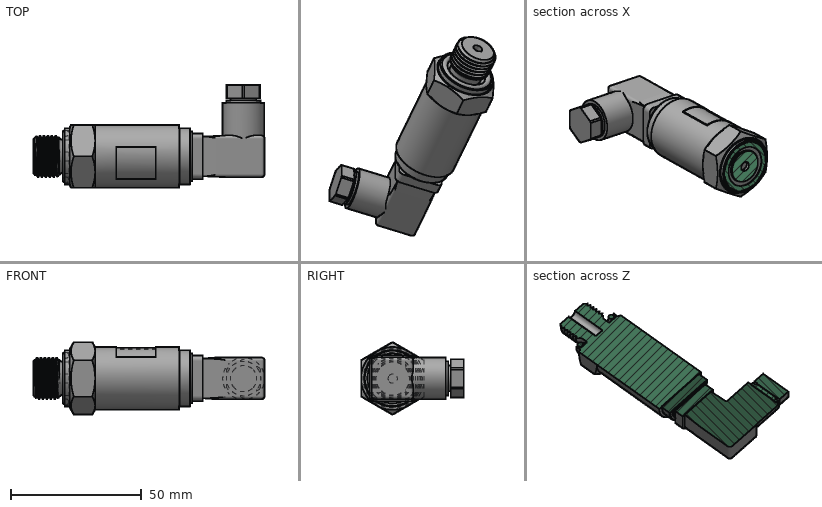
import cadquery as cq
import math


undercut_start = 10.6
seal_face = 11.9
hex_start = 13.95
hex_end = 23.6
barrel_end = 55.6
collar_end = 59.9
base_end = 60.7
flange_end = 64.7
plug_end = 88.3

thread_radius = 15.9 / 2
thread_root_radius = 14.1 / 2
thread_pitch = 1.5
thread_tip_radius = 6.5
undercut_radius = 6.4
undercut_fillet = 1.3
port_diameter = 3.5
thread_half_angle = 30.0
crest_width = thread_pitch / 8
thread_start = -1.6

hex_flats = 24.0
hex_corner_radius = hex_flats / math.sqrt(3)
hex_front_radius = 11.3
hex_chamfer_angle = 30.0
barrel_radius = hex_flats / 2
shoulder_radius = 21.6 / 2

ring_section_radius = 1.15
ring_inner_radius = 7.8
ring_centre_radius = ring_inner_radius + ring_section_radius
ring_outer_radius = ring_centre_radius + ring_section_radius
ring_protrusion = 0.8
ring_seat = seal_face - ring_protrusion + 2 * ring_section_radius

panel_start = 31.7
panel_end = 46.7
panel_width = 12.6
panel_depth = 0.3
panel_tilt = 14.5

collar_radius = 21.6 / 2
collar_chamfer = 0.3
base_radius = 19.1 / 2
flange_size = 17.5
flange_corner_radius = 2.0

plug_size = 16.0
plug_fillet = 1.2
plug_neck_size = 15.2
plug_taper_end_z = 69.65
plug_taper_end_y = 73.6

outlet_x = 80.2
outlet_diameter = plug_size
outlet_end = 20.4
gland_washer_diameter = 13.15
gland_washer_end = 21.4
gland_neck_diameter = 10.0
gland_nut_start = 22.2
gland_nut_end = 27.3
gland_nut_flats = 13.1
gland_nut_corner_diameter = 14.65


def revolve_about_x(points):
    """Closed outline of (x, radius) points turned about the X axis."""
    return cq.Workplane("XY").polyline(points).close().revolve(360, (0, 0, 0), (1, 0, 0))


def bar_along_x(start, end, size):
    """Square bar centred on the X axis."""
    return cq.Workplane("YZ").workplane(offset=start).rect(size, size).extrude(end - start)


def disc_along_y(start, end, diameter):
    """Round disc on the axis of the cable outlet."""
    plane = cq.Plane(origin=(outlet_x, start, 0), xDir=(1, 0, 0), normal=(0, 1, 0))
    return cq.Workplane(plane).circle(diameter / 2).extrude(end - start)


def make_thread_groove():
    """Helical V groove with a flat root, running out into the undercut."""
    clearance = 0.1
    slope = math.tan(math.radians(thread_half_angle))
    outer_radius = thread_radius + clearance
    outer_half = (thread_pitch - crest_width) / 2 + clearance * slope
    root_half = outer_half - (outer_radius - thread_root_radius) * slope
    helix = cq.Wire.makeHelix(thread_pitch, undercut_start - thread_start, thread_root_radius)
    groove = (
        cq.Workplane("XZ")
        .polyline([
            (thread_root_radius, -root_half),
            (outer_radius, -outer_half),
            (outer_radius, outer_half),
            (thread_root_radius, root_half),
        ])
        .close()
        .sweep(cq.Workplane(obj=helix), isFrenet=True)
    )
    return groove.rotate((0, 0, 0), (0, 1, 0), 90).translate((thread_start, 0, 0))


def make_threaded_port():
    """Threaded shank with a chamfered tip and an undercut that reaches into the O-ring seat."""
    tip_chamfer = thread_radius - thread_tip_radius
    undercut_chamfer = thread_radius - undercut_radius
    envelope = revolve_about_x([
        (0, 0),
        (0, thread_tip_radius),
        (tip_chamfer, thread_radius),
        (undercut_start - undercut_chamfer, thread_radius),
        (undercut_start, undercut_radius),
        (ring_seat, undercut_radius),
        (ring_seat, 0),
    ])
    undercut_corner = cq.NearestToPointSelector((undercut_start, 0, 0))
    envelope = envelope.edges(undercut_corner).fillet(undercut_fillet)
    threaded_rod = cq.Workplane("YZ").circle(thread_radius).extrude(ring_seat).cut(make_thread_groove())
    return threaded_rod.intersect(envelope)


def make_seal_shoulder():
    """Shoulder with a recessed seat for the O-ring."""
    return revolve_about_x([
        (ring_seat, 0),
        (ring_seat, ring_outer_radius),
        (seal_face, ring_outer_radius),
        (seal_face, shoulder_radius),
        (hex_start, shoulder_radius),
        (hex_start, 0),
    ])


def make_hexagon():
    """Spanner hexagon with its corners turned off at both ends."""
    slope = math.tan(math.radians(hex_chamfer_angle))
    front_chamfer = (hex_corner_radius - hex_front_radius) * slope
    back_chamfer = (hex_corner_radius - barrel_radius) * slope
    prism = (
        cq.Workplane("YZ")
        .workplane(offset=hex_start)
        .polygon(6, 2 * hex_corner_radius)
        .extrude(hex_end - hex_start)
        .rotate((0, 0, 0), (1, 0, 0), 90)
    )
    envelope = revolve_about_x([
        (hex_start, 0),
        (hex_start, hex_front_radius),
        (hex_start + front_chamfer, hex_corner_radius),
        (hex_end - back_chamfer, hex_corner_radius),
        (hex_end, barrel_radius),
        (hex_end, 0),
    ])
    return prism.intersect(envelope)


def make_panel_recess():
    """Curved plate that is cut from the barrel surface to leave the panel."""
    floor_radius = barrel_radius - panel_depth
    length = panel_end - panel_start
    tube = (
        cq.Workplane("YZ")
        .workplane(offset=panel_start)
        .circle(barrel_radius + panel_depth)
        .circle(floor_radius)
        .extrude(length)
    )
    block = cq.Workplane("XY").box(length, panel_width, 2 * barrel_radius, centered=(False, True, False))
    return tube.intersect(block.translate((panel_start, 0, 0))).rotate((0, 0, 0), (1, 0, 0), panel_tilt)


def make_fitting():
    """Port, shoulder, hexagon and barrel in one piece, with a blind pressure port."""
    barrel = revolve_about_x([
        (hex_end, 0),
        (hex_end, barrel_radius),
        (barrel_end, barrel_radius),
        (barrel_end, 0),
    ])
    port = cq.Workplane("YZ").circle(port_diameter / 2).extrude(hex_start)
    body = make_threaded_port().union(make_seal_shoulder()).union(make_hexagon())
    return body.union(barrel.cut(make_panel_recess())).cut(port)


def make_o_ring():
    """Torus resting on the floor and rim of its seat."""
    centre_x = ring_seat - ring_section_radius
    return (
        cq.Workplane("XY")
        .center(centre_x, ring_centre_radius)
        .circle(ring_section_radius)
        .revolve(360, (0, -ring_centre_radius, 0), (1, -ring_centre_radius, 0))
    )


def make_collar():
    """Retaining disc with both rims chamfered."""
    collar = cq.Workplane("YZ").workplane(offset=barrel_end).circle(collar_radius)
    return collar.extrude(collar_end - barrel_end).edges().chamfer(collar_chamfer)


def make_connector_base():
    """Thin disc between collar and flange."""
    return cq.Workplane("YZ").workplane(offset=collar_end).circle(base_radius).extrude(base_end - collar_end)


def make_flange():
    """Square plate with rounded corners."""
    return bar_along_x(base_end, flange_end, flange_size).edges("|X").fillet(flange_corner_radius)


def plug_profile(plane, taper_end):
    """Plate with the plug's tapered outline, thicker than the plug."""
    half = plug_size / 2
    neck_half = plug_neck_size / 2
    return (
        cq.Workplane(plane)
        .polyline([
            (flange_end, -neck_half),
            (taper_end, -half),
            (plug_end, -half),
            (plug_end, half),
            (taper_end, half),
            (flange_end, neck_half),
        ])
        .close()
        .extrude(plug_size, both=True)
    )


def make_plug():
    """Rounded plug housing with the round cable outlet on its +Y side."""
    housing = bar_along_x(flange_end, plug_end, plug_size)
    housing = housing.edges("|X or >X").fillet(plug_fillet)
    housing = housing.intersect(plug_profile("XZ", plug_taper_end_z))
    housing = housing.intersect(plug_profile("XY", plug_taper_end_y))
    return housing.union(disc_along_y(plug_size / 2 - plug_fillet, outlet_end, outlet_diameter))


def make_gland_insert():
    """Washer on the outlet with a narrower neck that carries the nut."""
    washer = disc_along_y(outlet_end, gland_washer_end, gland_washer_diameter)
    return washer.union(disc_along_y(gland_washer_end, gland_nut_start, gland_neck_diameter))


def make_gland_nut():
    """Hexagon nut with flats facing +X and -X and its corners turned off."""
    height = gland_nut_end - gland_nut_start
    plane = cq.Plane(origin=(outlet_x, gland_nut_start, 0), xDir=(0, 0, 1), normal=(0, 1, 0))
    prism = cq.Workplane(plane).polygon(6, 2 * gland_nut_flats / math.sqrt(3)).extrude(height)
    return prism.intersect(disc_along_y(gland_nut_start, gland_nut_end, gland_nut_corner_diameter))


fitting = make_fitting()
o_ring = make_o_ring()
collar = make_collar()
connector_base = make_connector_base()
flange = make_flange()
plug = make_plug()
gland_insert = make_gland_insert()
gland_nut = make_gland_nut()

bodies = [fitting, o_ring, collar, connector_base, flange, plug, gland_insert, gland_nut]
result = cq.Compound.makeCompound([body.solids().val() for body in bodies])